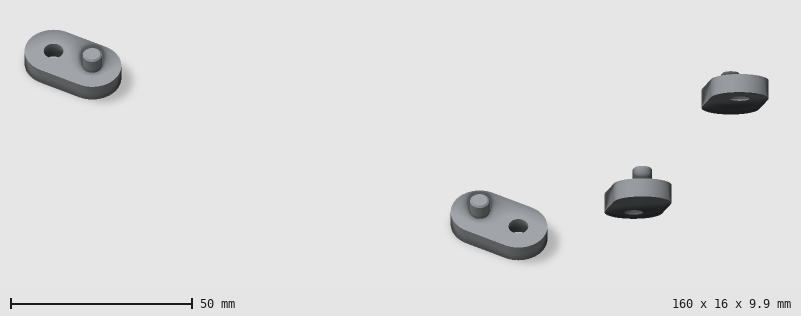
import cadquery as cq

overall_length = 160.0

plate_width = 16.0
hole_spacing = 12.0
plate_length = plate_width + hole_spacing
plate_thickness = 5.1
screw_hole_diameter = 5.5

base_diameter = 12.0
pin_diameter = 5.3
pin_height = 4.8
pin_chamfer = 0.5

plate_offset = (overall_length - plate_length) / 2
pin_offset = plate_offset - hole_spacing / 2
screw_hole_offset = plate_offset + hole_spacing / 2


def make_plate(side):
    """Rounded plate with a screw hole at its outer end and a pin seat at its inner end."""
    blank = cq.Workplane("XY").center(side * plate_offset, 0).slot2D(plate_length, plate_width)
    blank = blank.extrude(plate_thickness)
    screw_hole = cq.Workplane("XY").center(side * screw_hole_offset, 0)
    screw_hole = screw_hole.circle(screw_hole_diameter / 2).extrude(plate_thickness)
    pin_seat = cq.Workplane("XY").center(side * pin_offset, 0)
    pin_seat = pin_seat.circle(base_diameter / 2).extrude(plate_thickness)
    return blank.cut(screw_hole).cut(pin_seat)


def make_pin(side):
    """Pin with a chamfered tip, standing on a base flush with the plate."""
    base = cq.Workplane("XY").center(side * pin_offset, 0)
    base = base.circle(base_diameter / 2).extrude(plate_thickness)
    shank = base.faces(">Z").workplane().circle(pin_diameter / 2).extrude(pin_height)
    return shank.faces(">Z").edges().chamfer(pin_chamfer)


sides = (-1, 1)
plates = [make_plate(side).val() for side in sides]
pins = [make_pin(side).val() for side in sides]

result = cq.Compound.makeCompound([*plates, *pins])